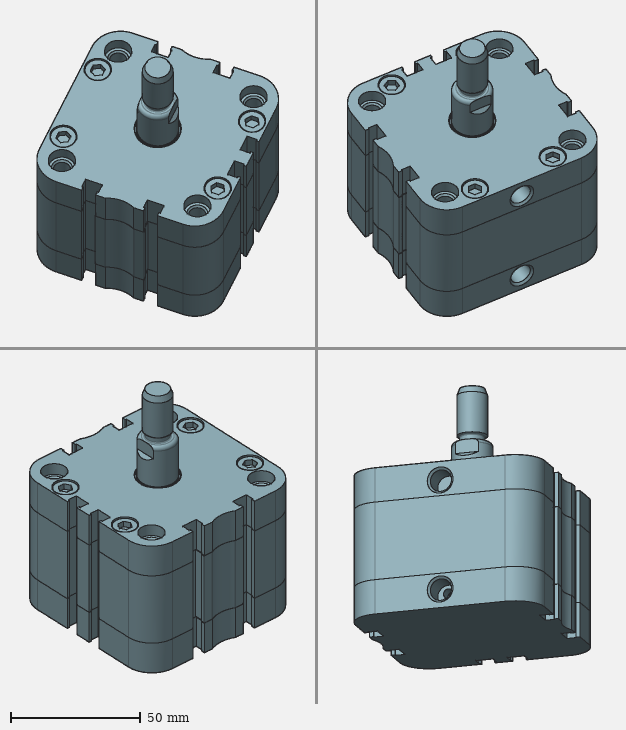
import cadquery as cq
import math

overall_height = 99.0
body_width = 77.0
corner_radius = 12.0
cap_height = 13.9
body_height = 59.0
barrel_height = body_height - 2 * cap_height
half_width = body_width / 2
tolerance = 0.01

side_slot_outer = 15.8
side_slot_cap_inner = 10.0
side_slot_barrel_inner = 10.3
side_slot_lip = 1.7
side_slot_depth = 5.4
side_slot_undercut = 0.6
end_slot_outer = 9.2
end_slot_inner = 3.6
end_slot_lip = 1.2
end_slot_depth = 5.2
end_slot_undercut = 0.7
lip_rounding = 0.3

hollow_half_width = 5.9
hollow_depth = 1.4
hollow_edge_rounding = 0.7

port_diameter = 8.6
port_mouth_diameter = 10.5
port_depth = 9.9
port_from_end = 7.5
air_passage_diameter = 4.0
air_passage_rise = 0.9
air_passage_depth = 4.95

mount_offset = 28.3
mount_bore_diameter = 10.5
mount_bore_depth = 4.95
mount_thread_diameter = 6.6
mount_sink_diameter = 8.1

screw_x = 32.3
screw_y = 17.3
screw_pocket_diameter = 10.5
screw_pocket_depth = 4.95
screw_head_diameter = 10.0
screw_head_top_diameter = 9.8
screw_head_recess = 0.5
hex_across_flats = 5.0
hex_depth = 2.5
hex_half_sector = 30

rod_diameter = 16.0
rod_shoulder_z = 77.1
rod_shoulder_rounding = 1.7
thread_diameter = 12.0
thread_tip_diameter = 10.0
thread_tip_length = 2.7
thread_bottom_z = 80.1
neck_diameter = 10.0
neck_top_z = 79.5
neck_rounding = 0.3
flat_across = 13.0
flat_bottom_z = 71.7

seal_mouth_diameter = 18.2
seal_groove_diameter = 17.7
seal_groove_depth = 1.0
seal_lip_diameter = 16.5
seal_lip_recess = 0.3


def block(height):
    """Square block with rounded upright corners, standing on z = 0."""
    return cq.Workplane("XY").rect(body_width, body_width).extrude(height).edges("|Z").fillet(corner_radius)


def slot(inner, outer, lip, depth, undercut, height):
    """T-slot cutter open towards -Y, spanning inner..outer in X."""
    middle = (inner + outer) / 2
    throat_width = outer - inner
    throat = cq.Workplane("XY").box(throat_width, depth, height, centered=(True, False, False))
    groove_width = throat_width + 2 * undercut
    groove = cq.Workplane("XY").box(groove_width, depth - lip, height, centered=(True, False, False))
    cutter = throat.union(groove.translate((0, lip, 0)))
    return cutter.translate((middle, -half_width, 0))


def hollow(height):
    """Cutter for the shallow arc in the middle of the -Y face."""
    return (
        cq.Workplane("XY")
        .moveTo(-hollow_half_width, -half_width)
        .threePointArc((0, hollow_depth - half_width), (hollow_half_width, -half_width))
        .close()
        .extrude(height)
    )


def profiled_block(height, side_slot_inner):
    """Block with two slots and a hollow in each Y face and two slots in the +X face."""
    body = block(height)
    side_slot = slot(
        side_slot_inner, side_slot_outer, side_slot_lip, side_slot_depth, side_slot_undercut, height
    )
    side_cuts = side_slot.union(side_slot.mirror("YZ")).union(hollow(height))
    end_slot = slot(end_slot_inner, end_slot_outer, end_slot_lip, end_slot_depth, end_slot_undercut, height)
    end_cuts = end_slot.union(end_slot.mirror("YZ")).rotate((0, 0, 0), (0, 0, 1), 90)
    return body.cut(side_cuts).cut(side_cuts.mirror("XZ")).cut(end_cuts)


def upright_edges_at(body, x, y):
    """Upright edges at the four mirrored positions (+-x, +-y)."""

    def at_position(edge):
        middle = edge.Center()
        return abs(abs(middle.x) - x) < tolerance and abs(abs(middle.y) - y) < tolerance

    return body.edges("|Z").filter(at_position)


def make_barrel():
    body = profiled_block(barrel_height, side_slot_barrel_inner)
    body = upright_edges_at(body, side_slot_barrel_inner, half_width).fillet(lip_rounding)
    lip_back = half_width - side_slot_lip
    body = upright_edges_at(body, side_slot_barrel_inner, lip_back).fillet(lip_rounding)
    body = upright_edges_at(body, hollow_half_width, half_width).fillet(hollow_edge_rounding)
    return body.translate((0, 0, cap_height))


def port(z):
    """Cutter for a threaded air port with a chamfered mouth, entering the -X face."""
    chamfer = (port_mouth_diameter - port_diameter) / 2
    bore = cq.Workplane("YZ").circle(port_diameter / 2).extrude(port_depth)
    mouth = (
        cq.Workplane("YZ")
        .circle(port_mouth_diameter / 2)
        .workplane(offset=chamfer)
        .circle(port_diameter / 2)
        .loft()
    )
    return bore.union(mouth).translate((-half_width, 0, z))


def make_rear_cap():
    body = profiled_block(cap_height, side_slot_cap_inner)
    passage = (
        cq.Workplane("YZ", origin=(port_depth - half_width, 0, port_from_end + air_passage_rise))
        .circle(air_passage_diameter / 2)
        .extrude(air_passage_depth)
    )
    return body.cut(port(port_from_end)).cut(passage)


def revolved(points):
    """Solid turned about Z from (radius, z) points; the axis closes the outline."""
    return cq.Workplane("XZ").polyline(points).close().revolve(360, (0, 0, 0), (0, 1, 0))


def mount_hole():
    """Counterbored, countersunk hole cutter hanging below z = 0."""
    sink_depth = (mount_sink_diameter - mount_thread_diameter) / 2
    return revolved(
        [
            (0, 0),
            (mount_bore_diameter / 2, 0),
            (mount_bore_diameter / 2, -mount_bore_depth),
            (mount_sink_diameter / 2, -mount_bore_depth),
            (mount_thread_diameter / 2, -mount_bore_depth - sink_depth),
            (mount_thread_diameter / 2, -cap_height),
            (0, -cap_height),
        ]
    )


def screw_pocket(corner_angle):
    """Cutter below z = 0 that leaves a sunk screw head with a hex socket."""
    edge_break = (screw_head_diameter - screw_head_top_diameter) / 2
    clearance = revolved(
        [
            (0, 0),
            (screw_pocket_diameter / 2, 0),
            (screw_pocket_diameter / 2, -screw_pocket_depth),
            (screw_head_diameter / 2, -screw_pocket_depth),
            (screw_head_diameter / 2, -screw_head_recess - edge_break),
            (screw_head_top_diameter / 2, -screw_head_recess),
            (0, -screw_head_recess),
        ]
    )
    across_corners = hex_across_flats / math.cos(math.radians(hex_half_sector))
    socket = cq.Workplane("XY").polygon(6, across_corners).extrude(-screw_head_recess - hex_depth)
    return clearance.union(socket.rotate((0, 0, 0), (0, 0, 1), corner_angle))


def rod_passage():
    """Cutter below z = 0 for the rod hole, its sunk lip and the groove around the lip."""
    edge_break = (seal_mouth_diameter - seal_groove_diameter) / 2
    return revolved(
        [
            (0, 0),
            (seal_mouth_diameter / 2, 0),
            (seal_groove_diameter / 2, -edge_break),
            (seal_groove_diameter / 2, -seal_groove_depth),
            (seal_lip_diameter / 2, -seal_groove_depth),
            (seal_lip_diameter / 2, -seal_lip_recess),
            (rod_diameter / 2, -seal_lip_recess),
            (rod_diameter / 2, -cap_height),
            (0, -cap_height),
        ]
    )


def make_front_cap():
    body = profiled_block(cap_height, side_slot_cap_inner)
    body = body.cut(port(cap_height - port_from_end))
    body = body.cut(rod_passage().translate((0, 0, cap_height)))
    for side_x in (-1, 1):
        corner_angle = hex_half_sector if side_x < 0 else 0
        for side_y in (-1, 1):
            hole = mount_hole().translate((side_x * mount_offset, side_y * mount_offset, cap_height))
            screw = screw_pocket(corner_angle).translate((side_x * screw_x, side_y * screw_y, cap_height))
            body = body.cut(hole).cut(screw)
    return body.translate((0, 0, body_height - cap_height))


def is_neck_end(edge):
    """True for the two circles that end the thread runout neck."""
    same_radius = abs(edge.radius() - neck_diameter / 2) < tolerance
    return same_radius and edge.Center().z < thread_bottom_z


def make_rod():
    shank_bottom = body_height - cap_height
    shank = cq.Workplane("XY").circle(rod_diameter / 2).extrude(rod_shoulder_z - shank_bottom)
    shank = shank.faces(">Z").edges().fillet(rod_shoulder_rounding).translate((0, 0, shank_bottom))
    stud = revolved(
        [
            (0, rod_shoulder_z),
            (neck_diameter / 2, rod_shoulder_z),
            (neck_diameter / 2, neck_top_z),
            (thread_diameter / 2, thread_bottom_z),
            (thread_diameter / 2, overall_height - thread_tip_length),
            (thread_tip_diameter / 2, overall_height),
            (0, overall_height),
        ]
    )
    flat_x = flat_across / 2
    runout = rod_diameter / 2 - flat_x
    flat = (
        cq.Workplane("XZ")
        .polyline(
            [
                (flat_x, rod_shoulder_z),
                (flat_x, flat_bottom_z),
                (flat_x + runout, flat_bottom_z - runout),
                (flat_x + runout, rod_shoulder_z),
            ]
        )
        .close()
        .extrude(rod_diameter / 2, both=True)
    )
    rod = shank.cut(flat).cut(flat.mirror("YZ")).union(stud)
    return rod.edges("%CIRCLE").filter(is_neck_end).fillet(neck_rounding)


rear_cap = make_rear_cap()
barrel = make_barrel()
front_cap = make_front_cap()
rod = make_rod()

bodies = [rear_cap, barrel, front_cap, rod]
result = cq.Compound.makeCompound([body.solids().val() for body in bodies])